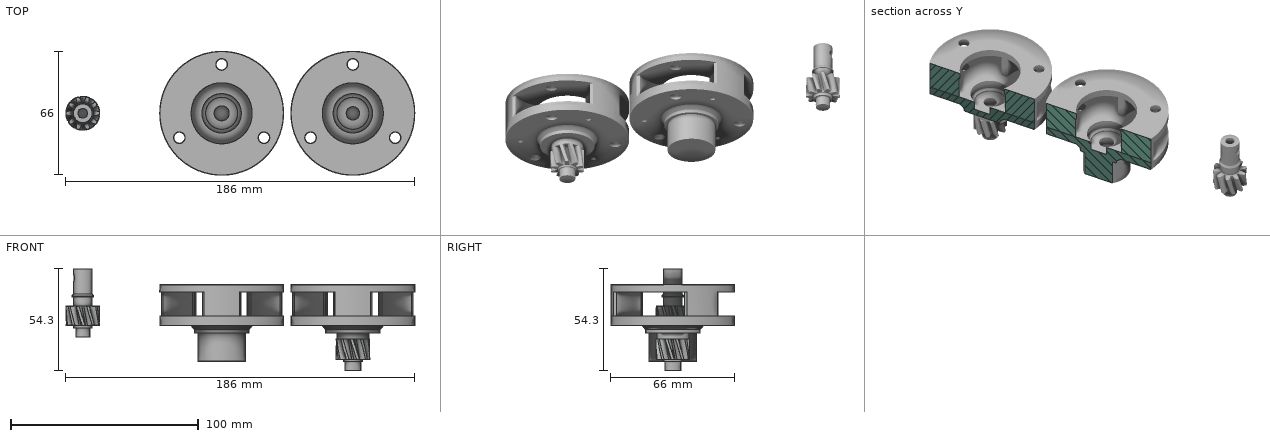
import cadquery as cq
import math

OUTPUT_STAGE_X = 74.0
CARRIER_SPACING = 70.0
FIRST_STAGE_X = OUTPUT_STAGE_X + CARRIER_SPACING

HUB_BOTTOM = 20.1
HUB_CONE_BOTTOM = 22.0
PLATE_BOTTOM = 24.0
PLATE_TOP = 29.2
RING_BOTTOM = 41.9
RING_TOP = 46.0

CARRIER_DIAMETER = 66.0
RING_BORE = 32.5
HUB_CONE_DIAMETER = 32.5
HUB_DIAMETER = 29.0

PIN_HOLE_DIAMETER = 6.0
PIN_CIRCLE_RADIUS = 26
PIN_ANGLES = (90, 210, 330)

POST_ANGLES = (30, 150, 270)
POST_RIM_HALF_WIDTH = 9.5
POST_FLANK_HALF_WIDTH = 10.2
POST_TIP_HALF_WIDTH = 0.7
POST_TIP_CHAMFER = 0.5
PLANET_CLEARANCE_RADIUS = 21.0

LOCATING_HOLE_DIAMETER = 2.8
LOCATING_HOLE_RADIAL = 24.4
LOCATING_HOLE_OFFSET = 6.3

SEAT_DIAMETER = 21.0
SEAT_DEPTH = 5.0
RELIEF_DIAMETER = 17.1
RELIEF_DEPTH = 1.0
SHAFT_BORE_DEPTH = 5.0
OUTPUT_STAGE_BORE = 8.0
FIRST_STAGE_BORE = 7.0

OUTPUT_SHAFT_DIAMETER = 25.5
OUTPUT_SHAFT_BOTTOM = 5.0

TEETH = 10
GEAR_TIP_DIAMETER = 18.0
GEAR_PITCH_DIAMETER = 15.0
GEAR_ROOT_DIAMETER = 11.2
TIP_HALF_ANGLE = 5
PITCH_HALF_ANGLE = 9
ROOT_HALF_ANGLE = 12.5
HELIX_ANGLE = 15
GEAR_SHOULDER_DIAMETER = 10.0

SUN_NECK_DIAMETER = 17.1
SUN_GEAR_TOP = 17.0
SUN_GEAR_BOTTOM = 6.0
SUN_SHOULDER_BOTTOM = 5.0
SUN_JOURNAL_DIAMETER = 8.5

PINION_TOP = 54.3
PINION_SHAFT_DIAMETER = 10.0
PINION_GEAR_TOP = 34.5
PINION_GEAR_BOTTOM = 24.2
PINION_SHOULDER_BOTTOM = 22.7
PINION_JOURNAL_DIAMETER = 7.5
PINION_JOURNAL_BOTTOM = 17.9
COLLAR_DIAMETER = 11.5
COLLAR_CONE_TOP = 41
COLLAR_CONE_BOTTOM = 39.8
COLLAR_BOTTOM = 39.3
MOTOR_BORE_DIAMETER = 5.0
MOTOR_BORE_DEPTH = 10.0
SCREW_HOLE_DIAMETER = 4.3
SCREW_HOLE_Z = 49.3


def polar(radius, degrees):
    angle = math.radians(degrees)
    return (radius * math.cos(angle), radius * math.sin(angle))


def cylinder(diameter, bottom, top):
    return cq.Workplane("XY").workplane(offset=bottom).circle(diameter / 2).extrude(top - bottom)


def cone(bottom_diameter, top_diameter, bottom, top):
    return cq.Workplane(cq.Solid.makeCone(
        bottom_diameter / 2, top_diameter / 2, top - bottom, pnt=cq.Vector(0, 0, bottom)))


def pin_holes(bottom, top):
    """Cutter for the three planet pin holes."""
    centres = [polar(PIN_CIRCLE_RADIUS, angle) for angle in PIN_ANGLES]
    drills = cq.Workplane("XY").workplane(offset=bottom).pushPoints(centres)
    return drills.circle(PIN_HOLE_DIAMETER / 2).extrude(top - bottom)


def helix_turn(height):
    """Degrees that the teeth turn over a height."""
    return math.degrees(height * math.tan(math.radians(HELIX_ANGLE)) / (GEAR_PITCH_DIAMETER / 2))


def helical_gear(bottom, top):
    """Spur outline twisted along Z, with a tooth centred on +X at the bottom face."""
    root, pitch, tip = GEAR_ROOT_DIAMETER / 2, GEAR_PITCH_DIAMETER / 2, GEAR_TIP_DIAMETER / 2
    height = top - bottom
    tooth_step = 360 / TEETH
    outline = cq.Workplane("XY").workplane(offset=bottom).moveTo(*polar(root, -ROOT_HALF_ANGLE))
    for tooth in range(TEETH):
        centre = tooth * tooth_step
        outline = (
            outline
            .threePointArc(polar(pitch, centre - PITCH_HALF_ANGLE), polar(tip, centre - TIP_HALF_ANGLE))
            .threePointArc(polar(tip, centre), polar(tip, centre + TIP_HALF_ANGLE))
            .threePointArc(polar(pitch, centre + PITCH_HALF_ANGLE), polar(root, centre + ROOT_HALF_ANGLE))
            .threePointArc(
                polar(root, centre + tooth_step / 2), polar(root, centre + tooth_step - ROOT_HALF_ANGLE))
        )
    return outline.close().twistExtrude(height, -helix_turn(height))


def post():
    """One post on the +X axis, hollowed on both sides to clear the planets."""
    outer, inner = CARRIER_DIAMETER / 2, RING_BORE / 2
    pin_x, pin_y = polar(PIN_CIRCLE_RADIUS, PIN_ANGLES[0] - POST_ANGLES[0])

    flank_x = pin_x + math.sqrt(PLANET_CLEARANCE_RADIUS**2 - (pin_y - POST_FLANK_HALF_WIDTH)**2)
    neck_x = inner + POST_TIP_CHAMFER
    neck_y = pin_y - math.sqrt(PLANET_CLEARANCE_RADIUS**2 - (neck_x - pin_x)**2)
    middle_x = (flank_x + neck_x) / 2
    middle_y = pin_y - math.sqrt(PLANET_CLEARANCE_RADIUS**2 - (middle_x - pin_x)**2)
    corner_x = math.sqrt(outer**2 - POST_RIM_HALF_WIDTH**2)
    tip_x = math.sqrt(inner**2 - POST_TIP_HALF_WIDTH**2)

    return (
        cq.Workplane("XY").workplane(offset=PLATE_TOP)
        .moveTo(tip_x, -POST_TIP_HALF_WIDTH)
        .lineTo(neck_x, -neck_y)
        .threePointArc((middle_x, -middle_y), (flank_x, -POST_FLANK_HALF_WIDTH))
        .lineTo(corner_x, -POST_RIM_HALF_WIDTH)
        .threePointArc((outer, 0), (corner_x, POST_RIM_HALF_WIDTH))
        .lineTo(flank_x, POST_FLANK_HALF_WIDTH)
        .threePointArc((middle_x, middle_y), (neck_x, neck_y))
        .lineTo(tip_x, POST_TIP_HALF_WIDTH)
        .threePointArc((inner, 0), (tip_x, -POST_TIP_HALF_WIDTH))
        .close()
        .extrude(RING_BOTTOM - PLATE_TOP)
    )


def cage():
    """Upper ring with the three posts that stand on the plate."""
    windows = cylinder(CARRIER_DIAMETER, PLATE_TOP, RING_BOTTOM)
    for angle in POST_ANGLES:
        windows = windows.cut(post().rotate((0, 0, 0), (0, 0, 1), angle))
    body = cylinder(CARRIER_DIAMETER, PLATE_TOP, RING_TOP)
    body = body.cut(cylinder(RING_BORE, PLATE_TOP, RING_TOP))
    body = body.cut(windows)
    return body.cut(pin_holes(RING_BOTTOM, RING_TOP))


def locating_holes():
    """Cutter for the small holes, one on the clockwise side of each post."""
    drill = cylinder(LOCATING_HOLE_DIAMETER, PLATE_BOTTOM, PLATE_TOP)
    drill = drill.translate((LOCATING_HOLE_RADIAL, -LOCATING_HOLE_OFFSET, 0))
    holes = cq.Workplane("XY")
    for angle in POST_ANGLES:
        holes = holes.add(drill.rotate((0, 0, 0), (0, 0, 1), angle))
    return holes.combine()


def hub_recess(bore_diameter):
    """Cutter for the stepped recess that opens at the top of the plate."""
    seat_floor = PLATE_TOP - SEAT_DEPTH
    relief_floor = seat_floor - RELIEF_DEPTH
    bore_floor = relief_floor - SHAFT_BORE_DEPTH
    recess = cylinder(SEAT_DIAMETER, seat_floor, PLATE_TOP)
    recess = recess.union(cylinder(RELIEF_DIAMETER, relief_floor, seat_floor))
    return recess.union(cylinder(bore_diameter, bore_floor, relief_floor))


def base(shaft, bore_diameter):
    """Lower plate and hub with a shaft below; the shaft's top meets the hub."""
    body = cylinder(CARRIER_DIAMETER, PLATE_BOTTOM, PLATE_TOP)
    body = body.union(cone(HUB_DIAMETER, HUB_CONE_DIAMETER, HUB_CONE_BOTTOM, PLATE_BOTTOM))
    body = body.union(cylinder(HUB_DIAMETER, HUB_BOTTOM, HUB_CONE_BOTTOM))
    body = body.union(shaft)
    body = body.cut(pin_holes(PLATE_BOTTOM, PLATE_TOP))
    body = body.cut(locating_holes())
    return body.cut(hub_recess(bore_diameter))


def output_base():
    shaft = cylinder(OUTPUT_SHAFT_DIAMETER, OUTPUT_SHAFT_BOTTOM, HUB_BOTTOM)
    return base(shaft, OUTPUT_STAGE_BORE)


def sun_base():
    shaft = cylinder(SUN_NECK_DIAMETER, SUN_GEAR_TOP, HUB_BOTTOM)
    shaft = shaft.union(helical_gear(SUN_GEAR_BOTTOM, SUN_GEAR_TOP))
    shaft = shaft.union(cylinder(GEAR_SHOULDER_DIAMETER, SUN_SHOULDER_BOTTOM, SUN_GEAR_BOTTOM))
    shaft = shaft.union(cylinder(SUN_JOURNAL_DIAMETER, 0, SUN_SHOULDER_BOTTOM))
    return base(shaft, FIRST_STAGE_BORE)


def input_pinion():
    gear_turn = helix_turn(PINION_GEAR_TOP - PINION_GEAR_BOTTOM)
    body = helical_gear(PINION_GEAR_BOTTOM, PINION_GEAR_TOP).rotate((0, 0, 0), (0, 0, 1), gear_turn)
    body = body.union(cylinder(PINION_SHAFT_DIAMETER, PINION_GEAR_TOP, PINION_TOP))
    body = body.union(cylinder(GEAR_SHOULDER_DIAMETER, PINION_SHOULDER_BOTTOM, PINION_GEAR_BOTTOM))
    body = body.union(cylinder(PINION_JOURNAL_DIAMETER, PINION_JOURNAL_BOTTOM, PINION_SHOULDER_BOTTOM))

    body = body.union(cylinder(COLLAR_DIAMETER, COLLAR_BOTTOM, COLLAR_CONE_BOTTOM))
    body = body.union(cone(COLLAR_DIAMETER, PINION_SHAFT_DIAMETER, COLLAR_CONE_BOTTOM, COLLAR_CONE_TOP))

    body = body.cut(cylinder(MOTOR_BORE_DIAMETER, PINION_TOP - MOTOR_BORE_DEPTH, PINION_TOP))
    screw_hole = cq.Workplane("YZ").center(0, SCREW_HOLE_Z).circle(SCREW_HOLE_DIAMETER / 2)
    return body.cut(screw_hole.extrude(-PINION_SHAFT_DIAMETER))


pinion = input_pinion()
output_carrier_base = output_base().translate((OUTPUT_STAGE_X, 0, 0))
sun_carrier_base = sun_base().translate((FIRST_STAGE_X, 0, 0))
cages = [cage().translate((x, 0, 0)) for x in (OUTPUT_STAGE_X, FIRST_STAGE_X)]

result = cq.Compound.makeCompound([
    pinion.val(),
    output_carrier_base.val(),
    sun_carrier_base.val(),
    *[body.val() for body in cages],
])